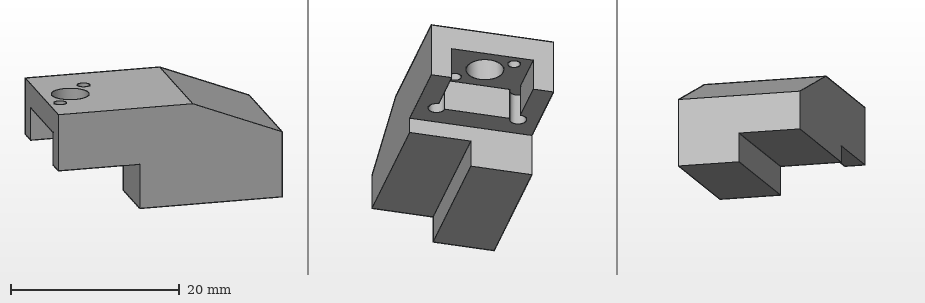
import cadquery as cq

width = 15.0
length = 27.5
height = 12.5

nose_length = 10.0
nose_thickness = 7.0
flat_top_length = 16.5
rear_height = 8.1

step_height = 3.5

roof_thickness = 2.95
pocket_width = 10.0
pocket_length = 7.0
corner_relief_radius = 1.0

main_hole_diameter = 4.48
main_hole_position = (0.0, 3.5)
pin_hole_diameter = 1.5
pin_hole_positions = [(-3.025, 5.95), (3.025, 1.425)]

nose_bottom = height - nose_thickness
pocket_depth = nose_thickness - roof_thickness


def body():
    """Side profile in the YZ plane, extruded across the width."""
    profile = [
        (0, height),
        (flat_top_length, height),
        (length, rear_height),
        (length, 0),
        (nose_length, 0),
        (nose_length, nose_bottom),
        (0, nose_bottom),
    ]
    return cq.Workplane("YZ").polyline(profile).close().extrude(width / 2, both=True)


def underside_step():
    """Material removed below the left half of the rear block."""
    return cq.Workplane("XY").box(width / 2, length, step_height, centered=False).translate((-width / 2, 0, 0))


def pocket():
    """Open-fronted pocket with a round relief at each corner of its closed end."""
    base = cq.Workplane("XY", origin=(0, 0, nose_bottom))
    corners = [(side * pocket_width / 2, pocket_length) for side in (-1, 1)]
    recess = base.center(0, pocket_length / 2).rect(pocket_width, pocket_length).extrude(pocket_depth)
    reliefs = base.pushPoints(corners).circle(corner_relief_radius).extrude(pocket_depth)
    return recess.union(reliefs)


def roof_holes(diameter, positions):
    """Vertical cylinders reaching from the underside of the nose to the top."""
    base = cq.Workplane("XY", origin=(0, 0, nose_bottom))
    return base.pushPoints(positions).circle(diameter / 2).extrude(nose_thickness)


result = (
    body()
    .cut(underside_step())
    .cut(pocket())
    .cut(roof_holes(main_hole_diameter, [main_hole_position]))
    .cut(roof_holes(pin_hole_diameter, pin_hole_positions))
)